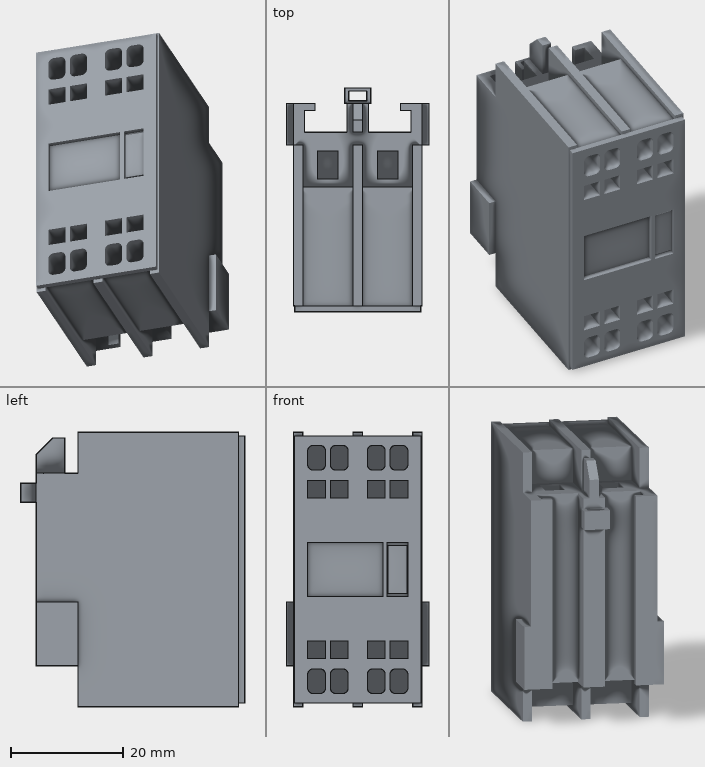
import cadquery as cq


body_width = 23.0
body_height = 49.02
body_rear_y = 29.78
plate_width = 22.5
plate_height = 47.7
plate_thickness = 1.1

rib_width = 1.7
rib_height = 1.15
shelf_front_y = 22.3
shelf_z = 17.2
shelf_pocket_x = 5.36
shelf_pocket_width = 3.6
shelf_pocket_length = 5.0
shelf_pocket_depth = 5.0
shelf_pocket_y = 26.25

rear_y = 37.25
channel_floor_y = 32.13
hook_thickness = 1.3
channel_outer_x = 9.47
hook_tip_x = 7.62
web_width = 3.9

overall_width = 25.5
tab_height = 11.4

tooth_width = 1.7
tooth_top_z = 23.5
tooth_chamfer = 2.95
overall_depth = 40.0
eyelet_width = 4.7
eyelet_top_z = 15.4
eyelet_bottom_z = 12.0
eyelet_hole_width = 3.2
eyelet_hole_front_y = 37.75
eyelet_hole_rear_y = 39.45

terminal_columns = (-7.35, -3.3, 3.3, 7.35)
opening_width = 3.2
release_opening_height = 3.1
wire_opening_height = 4.4
wire_opening_radius = 1.0
wire_opening_z = 19.95
release_opening_z = 14.35
opening_depth = 10.0

window_height = 9.7
window_left_x = -8.95
window_right_x = 4.55
window_depth = 1.0
indicator_left_x = 5.25
indicator_right_x = 8.95
indicator_side_gap = 0.17
indicator_end_gap = 0.55
indicator_recess = 0.5


def box(x_range, y_range, z_range):
    """Axis-aligned box between pairs of limits."""
    limits = (x_range, y_range, z_range)
    sizes = [high - low for low, high in limits]
    corner = tuple(low for low, high in limits)
    return cq.Workplane("XY").box(*sizes, centered=False).translate(corner)


def span(width, center=0.0):
    """Limits of a width placed about a center."""
    return (center - width / 2, center + width / 2)


def make_housing():
    """Front plate and main body, hollowed between the ribs at both ends."""
    plate = box(span(plate_width), (0, plate_thickness), span(plate_height))
    body = box(span(body_width), (plate_thickness, body_rear_y), span(body_height))
    bay_width = (body_width - 3 * rib_width) / 2
    bay_x = (bay_width + rib_width) / 2
    body_top = body_height / 2
    for x in (-bay_x, bay_x):
        floor_cut = box(
            span(bay_width, x), (plate_thickness, body_rear_y), (body_top - rib_height, body_top)
        )
        shelf_cut = box(span(bay_width, x), (shelf_front_y, body_rear_y), (shelf_z, body_top))
        for cut in (floor_cut, shelf_cut):
            body = body.cut(cut).cut(cut.mirror("XY"))
    return body.union(plate)


def make_rear_block():
    """Block behind the housing with two channels, closed in part by hooks."""
    block = box(span(body_width), (body_rear_y, rear_y), span(2 * shelf_z))
    hook_front_y = rear_y - hook_thickness
    channel = box(
        (web_width / 2, channel_outer_x), (channel_floor_y, hook_front_y), span(2 * shelf_z)
    )
    mouth = box((web_width / 2, hook_tip_x), (hook_front_y, rear_y), span(2 * shelf_z))
    slot = channel.union(mouth)
    return block.cut(slot).cut(slot.mirror("YZ"))


def make_side_tab():
    """Raised pad on the +X side of the rear block."""
    return box(
        (body_width / 2, overall_width / 2), (body_rear_y, rear_y), (-shelf_z, tab_height - shelf_z)
    )


def make_tooth():
    """Upright latch tooth with a sloped rear corner."""
    tooth = box(span(tooth_width), (channel_floor_y, rear_y), (shelf_z, tooth_top_z))
    return tooth.edges(">Y and >Z").chamfer(tooth_chamfer)


def make_eyelet():
    """Rectangular ring behind the central web."""
    z_range = (eyelet_bottom_z, eyelet_top_z)
    ring = box(span(eyelet_width), (rear_y, overall_depth), z_range)
    hole = box(span(eyelet_hole_width), (eyelet_hole_front_y, eyelet_hole_rear_y), z_range)
    return ring.cut(hole)


def cut_shelf_pockets(part):
    """Rectangular pocket in the upper shelf of each bay."""
    for x in (-shelf_pocket_x, shelf_pocket_x):
        pocket = box(
            span(shelf_pocket_width, x),
            span(shelf_pocket_length, shelf_pocket_y),
            (shelf_z - shelf_pocket_depth, shelf_z),
        )
        part = part.cut(pocket)
    return part


def cut_terminal_openings(part):
    """Rounded wire openings and rectangular release openings, top and bottom rows."""
    for x in terminal_columns:
        for side in (-1, 1):
            wire = box(
                span(opening_width, x),
                (0, opening_depth),
                span(wire_opening_height, side * wire_opening_z),
            )
            wire = wire.edges("|Y").fillet(wire_opening_radius)
            release = box(
                span(opening_width, x),
                (0, opening_depth),
                span(release_opening_height, side * release_opening_z),
            )
            part = part.cut(wire).cut(release)
    return part


def cut_window_and_indicator(part):
    """Label window, and beside it a recess holding the indicator."""
    window = box((window_left_x, window_right_x), (0, window_depth), span(window_height))
    recess = box((indicator_left_x, indicator_right_x), (0, window_depth), span(window_height))
    indicator = box(
        (indicator_left_x + indicator_side_gap, indicator_right_x - indicator_side_gap),
        (indicator_recess, window_depth),
        span(window_height - 2 * indicator_end_gap),
    )
    return part.cut(window).cut(recess).union(indicator)


side_tab = make_side_tab()
result = make_housing().union(make_rear_block())
result = result.union(side_tab).union(side_tab.mirror("YZ"))
result = result.union(make_tooth()).union(make_eyelet())
result = cut_shelf_pockets(result)
result = cut_terminal_openings(result)
result = cut_window_and_indicator(result)